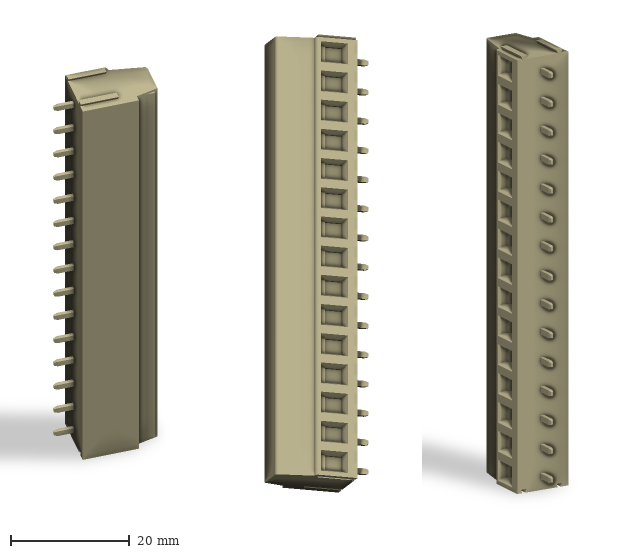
import cadquery as cq


width = 10.0
depth = 17.3
height = 76.8

poles = 15
housing_height = 76.2
housing_depth = 13.8
pitch = housing_height / poles

wire_ledge_y = 7.4
wire_ledge_width = 0.85
wire_ledge_radius = 0.6
back_ledge_y = 9.9
back_ledge_width = 1.15
tower_left = 2.0
tower_right = 7.8
tower_radius = 0.5

ridge_top_y = 13.2
ridge_x = 8.4
ridge_end_margin = 0.45
ridge_overlap = 0.45

mouth_y_min = 1.7
mouth_y_max = 6.45
mouth_height = 3.6
mouth_taper = 0.5
mouth_depth = 1.4
guide_start_x = 0.7
guide_bend_x = 1.2
guide_bend_y = 6.0
recess_y_max = 5.3
recess_depth = 0.45

rib_height = height - housing_height
rib_length = 6.7
rib_wide = 1.2
rib_neck = 0.6
rib_centers = (1.3, 8.2)

pin_x = 4.8
pin_thickness = 0.7
pin_height = 1.0
pin_length = depth - housing_depth
pin_tip_length = 0.6
pin_tip_inset = 0.15


def flank_x(y):
    """X of the sloping +X tower flank at a given Y."""
    foot_x = width - back_ledge_width
    rise = (y - back_ledge_y) / (housing_depth - back_ledge_y)
    return foot_x + rise * (tower_right - foot_x)


def make_housing():
    outline = [
        (0, 0),
        (width, 0),
        (width, back_ledge_y),
        (width - back_ledge_width, back_ledge_y),
        (tower_right, housing_depth),
        (tower_left, housing_depth),
        (wire_ledge_width, wire_ledge_y),
        (0, wire_ledge_y),
    ]
    body = cq.Workplane("XY").polyline(outline).close().extrude(housing_height)
    middle = housing_height / 2
    ledge_edge = cq.selectors.NearestToPointSelector((0, wire_ledge_y, middle))
    body = body.edges(ledge_edge).fillet(wire_ledge_radius)
    tower_edge = cq.selectors.NearestToPointSelector((tower_left, housing_depth, middle))
    return body.edges(tower_edge).fillet(tower_radius)


def make_ridge():
    """Wedge with an outer face parallel to Y, running out where it meets the flank."""
    slope = (width - back_ledge_width - tower_right) / (housing_depth - back_ledge_y)
    runout_y = ridge_top_y - (ridge_x - flank_x(ridge_top_y)) / slope
    outline = [
        (tower_right - ridge_overlap, ridge_top_y),
        (ridge_x, ridge_top_y),
        (ridge_x, runout_y),
        (tower_right - ridge_overlap, runout_y),
    ]
    ridge = cq.Workplane("XY").polyline(outline).close()
    ridge = ridge.extrude(housing_height - 2 * ridge_end_margin)
    return ridge.translate((0, 0, ridge_end_margin))


def make_pocket(z):
    """Tapered mouth with a sloped wire guide on its +Y side, then a straight recess."""
    inner_height = mouth_height - 2 * mouth_taper
    inner_y_min = mouth_y_min + mouth_taper
    plan = [
        (0, mouth_y_min),
        (mouth_depth, inner_y_min),
        (mouth_depth, recess_y_max),
        (guide_bend_x, guide_bend_y),
        (guide_start_x, mouth_y_max),
        (0, mouth_y_max),
    ]
    mouth = (
        cq.Workplane("XY", origin=(0, 0, z - mouth_height / 2))
        .polyline(plan).close()
        .extrude(mouth_height)
    )
    side = [
        (0, z - mouth_height / 2),
        (mouth_depth, z - inner_height / 2),
        (mouth_depth, z + inner_height / 2),
        (0, z + mouth_height / 2),
    ]
    taper = cq.Workplane("XZ").polyline(side).close().extrude(-housing_depth)
    recess = cq.Workplane("XY").box(
        recess_depth, recess_y_max - inner_y_min, inner_height, centered=(False, False, True)
    )
    return mouth.intersect(taper).union(recess.translate((mouth_depth, inner_y_min, z)))


def make_dovetail(x, z):
    """Dovetail bar along Y, narrow at z and wide at its top."""
    outline = [
        (x - rib_neck / 2, z),
        (x + rib_neck / 2, z),
        (x + rib_wide / 2, z + rib_height),
        (x - rib_wide / 2, z + rib_height),
    ]
    return cq.Workplane("XZ").polyline(outline).close().extrude(-rib_length)


def make_pin(z):
    shank_length = pin_length - pin_tip_length
    shank = (
        cq.Workplane("XZ")
        .center(pin_x, z)
        .rect(pin_thickness, pin_height)
        .extrude(shank_length)
    )
    tip = (
        shank.faces("<Y").workplane()
        .rect(pin_thickness, pin_height)
        .workplane(offset=pin_tip_length)
        .rect(pin_thickness - 2 * pin_tip_inset, pin_height - 2 * pin_tip_inset)
        .loft(ruled=True, combine=False)
    )
    return shank.union(tip)


result = make_housing().union(make_ridge())

for center_x in rib_centers:
    result = result.union(make_dovetail(center_x, housing_height))
    result = result.cut(make_dovetail(center_x, 0))

for pole in range(poles):
    pole_z = (pole + 0.5) * pitch
    result = result.cut(make_pocket(pole_z)).union(make_pin(pole_z))